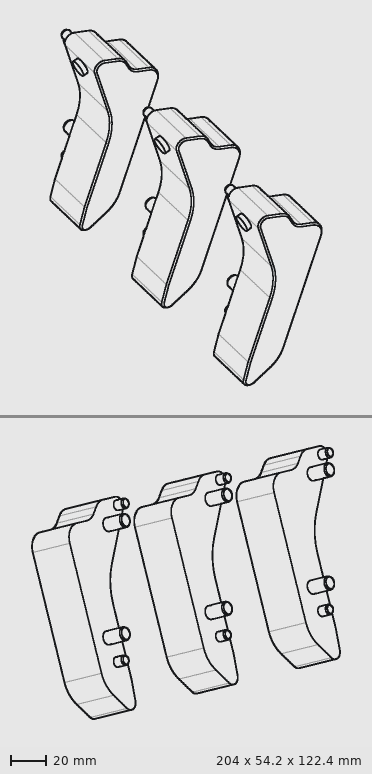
import cadquery as cq
import math


GRIP_COUNT = 3
GRIP_PITCH = 80.0

PLATE_THICKNESS = 30.0
PLATE_CHAMFER = 1.0

LEG_SLOPE = 70
LEDGE_SLOPE = LEG_SLOPE + 90
STEP_SLOPE = LEDGE_SLOPE - 45
HEAD_FRONT_SLOPE = 105
TOE_FRONT_SLOPE = 75
SOLE_SLOPE = 27

TIP_RADIUS = 10.0 / 2
CORNER_RADIUS = 10.0
HEEL_RADIUS = 20.0
CROOK_RADIUS = 39.0

HALF_DEPTH = 27.1
HALF_HEIGHT = 61.2
HEAD_TIP_CENTER = (-12.0, HALF_HEIGHT - TIP_RADIUS)
TOE_TIP_CENTER = (TIP_RADIUS - HALF_DEPTH, TIP_RADIUS - HALF_HEIGHT)
BACK_CORNER_CENTER = (HALF_DEPTH - CORNER_RADIUS, 30.2)
STEP_FOOT = (9.0, 43.5)
SHIN_POINT = (-24.0, -43.9)

LARGE_PIN_DIAMETER = 8.0
LARGE_PIN_LENGTH = 14.0
LARGE_PIN_PLACES = [(-4.5, 43.5), (-4.5, -22.6)]
SMALL_PIN_DIAMETER = 6.0
SMALL_PIN_LENGTH = 7.0
SMALL_PIN_PLACES = [HEAD_TIP_CENTER, (HEAD_TIP_CENTER[0], -35.3)]
PIN_CHAMFER_LENGTH = 1.0
PIN_CHAMFER_DEPTH = 0.5

STUD_DIAMETER = 10.0
STUD_HEIGHT = 3.0
STUD_DROP = 5.7


def offset(point, angle, distance):
    """Point reached by moving the given distance at the given angle."""
    turn = math.radians(angle)
    return point[0] + distance * math.cos(turn), point[1] + distance * math.sin(turn)


def crossing(edge_a, edge_b):
    """Point where two straight edges meet, each edge given as (point, slope)."""
    (ay, az), slope_a = edge_a
    (by, bz), slope_b = edge_b
    turn_b = math.radians(slope_b)
    gap = (by - ay) * math.sin(turn_b) - (bz - az) * math.cos(turn_b)
    return offset((ay, az), slope_a, gap / math.sin(math.radians(slope_b - slope_a)))


def slope_between(start, end):
    return math.degrees(math.atan2(end[1] - start[1], end[0] - start[0]))


def arc_middle(arc_start, corner, arc_end):
    """Middle of the arc that is tangent to the corner's two edges at its start and end."""
    chord_middle = ((arc_start[0] + arc_end[0]) / 2, (arc_start[1] + arc_end[1]) / 2)
    half_chord = math.dist(arc_start, arc_end) / 2
    height = math.dist(chord_middle, corner)
    rise = half_chord * math.tan(math.atan2(height, half_chord) / 2)
    return offset(chord_middle, slope_between(chord_middle, corner), rise)


def plate_corners():
    """Sharp corners of the plate outline, each paired with its rounding radius."""
    ledge = (offset(BACK_CORNER_CENTER, LEDGE_SLOPE - 90, CORNER_RADIUS), LEDGE_SLOPE)
    back = (offset(BACK_CORNER_CENTER, LEG_SLOPE - 90, CORNER_RADIUS), LEG_SLOPE)
    sole = (offset(TOE_TIP_CENTER, SOLE_SLOPE - 90, TIP_RADIUS), SOLE_SLOPE)
    toe_front = (offset(TOE_TIP_CENTER, TOE_FRONT_SLOPE + 90, TIP_RADIUS), TOE_FRONT_SLOPE)
    shin = (SHIN_POINT, LEG_SLOPE)
    head_front = (offset(HEAD_TIP_CENTER, HEAD_FRONT_SLOPE + 90, TIP_RADIUS), HEAD_FRONT_SLOPE)
    head_top = (offset(HEAD_TIP_CENTER, LEDGE_SLOPE - 90, TIP_RADIUS), LEDGE_SLOPE)
    step = (STEP_FOOT, STEP_SLOPE)
    return [
        (crossing(ledge, back), CORNER_RADIUS),
        (crossing(back, sole), HEEL_RADIUS),
        (crossing(sole, toe_front), TIP_RADIUS),
        (crossing(toe_front, shin), 0),
        (crossing(shin, head_front), CROOK_RADIUS),
        (crossing(head_front, head_top), TIP_RADIUS),
        (crossing(head_top, step), CORNER_RADIUS),
        (crossing(step, ledge), CORNER_RADIUS),
    ]


def plate_outline():
    """Closed outline with every corner rounded by an arc tangent to both its edges."""
    corners = plate_corners()
    outline = cq.Workplane("YZ")
    for i, (corner, radius) in enumerate(corners):
        slope_in = slope_between(corners[i - 1][0], corner)
        slope_out = slope_between(corner, corners[(i + 1) % len(corners)][0])
        setback = radius * abs(math.tan(math.radians(slope_out - slope_in) / 2))
        arc_start = offset(corner, slope_in, -setback)
        arc_end = offset(corner, slope_out, setback)
        outline = outline.moveTo(*arc_start) if i == 0 else outline.lineTo(*arc_start)
        if radius > 0:
            outline = outline.threePointArc(arc_middle(arc_start, corner, arc_end), arc_end)
    return outline.close()


def make_plate():
    plate = plate_outline().extrude(PLATE_THICKNESS)
    return plate.faces(">X").chamfer(PLATE_CHAMFER)


def make_pins(places, diameter, length):
    pins = cq.Workplane("YZ").pushPoints(places).circle(diameter / 2).extrude(-length)
    return pins.faces("<X").chamfer(PIN_CHAMFER_LENGTH, PIN_CHAMFER_DEPTH)


def make_stud():
    outward = HEAD_FRONT_SLOPE + 90
    face_start = offset(HEAD_TIP_CENTER, outward, TIP_RADIUS)
    base_y, base_z = offset(face_start, HEAD_FRONT_SLOPE, -STUD_DROP)
    out_y, out_z = offset((0, 0), outward, 1)
    base = (PLATE_THICKNESS / 2, base_y, base_z)
    face = cq.Plane(origin=base, xDir=(1, 0, 0), normal=(0, out_y, out_z))
    return cq.Workplane(face).circle(STUD_DIAMETER / 2).extrude(STUD_HEIGHT)


def make_grip():
    large_pins = make_pins(LARGE_PIN_PLACES, LARGE_PIN_DIAMETER, LARGE_PIN_LENGTH)
    small_pins = make_pins(SMALL_PIN_PLACES, SMALL_PIN_DIAMETER, SMALL_PIN_LENGTH)
    return make_plate().union(large_pins).union(small_pins).union(make_stud())


row_length = LARGE_PIN_LENGTH + (GRIP_COUNT - 1) * GRIP_PITCH + PLATE_THICKNESS
first_face_x = LARGE_PIN_LENGTH - row_length / 2
grip = make_grip()
grips = [grip.translate((first_face_x + i * GRIP_PITCH, 0, 0)) for i in range(GRIP_COUNT)]

result = cq.Compound.makeCompound([copy.val() for copy in grips])